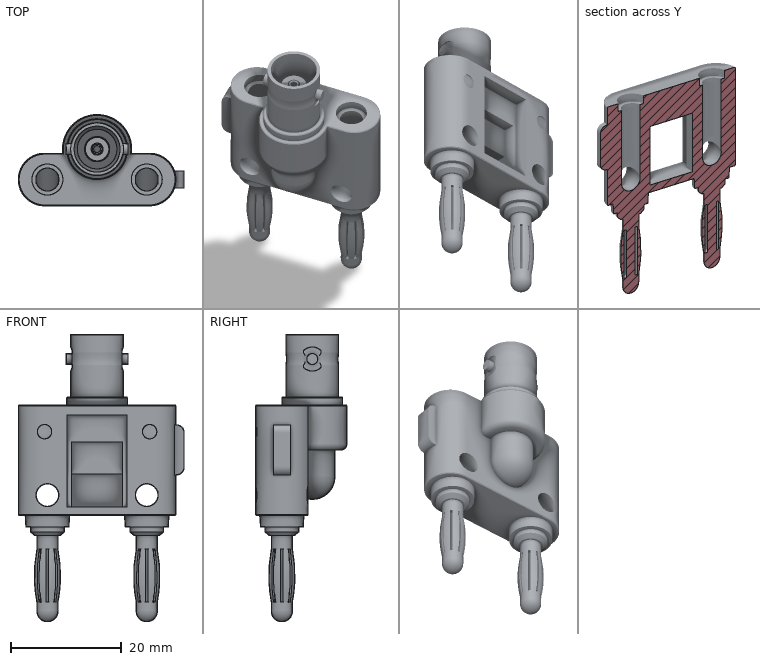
import cadquery as cq
import math


OVERALL_HEIGHT = 51.95

BODY_LENGTH = 28.55
BODY_DEPTH = 9.5
BODY_HEIGHT = 20.0
EDGE_CHAMFER = 0.15
END_RADIUS = BODY_DEPTH / 2
END_CENTRE_X = BODY_LENGTH / 2 - END_RADIUS
FRONT_Y = -BODY_DEPTH / 2

TAB_REACH = 1.5
TAB_WIDTH = 3.1
TAB_BOTTOM = 7.35
TAB_TOP = 16.4
TAB_CORNER_RADIUS = 1.45

COAX_Y = 5.5
BOSS_RADIUS = 12.5 / 2
BOSS_BOTTOM = 11.85
BOSS_FILLET = 1.1
ELBOW_RADIUS = 4.1
ELBOW_CENTRE_Z = 7.0
COLLAR_RADIUS = 5.5
COLLAR_HEIGHT = 1.45
COLLAR_TOP = BODY_HEIGHT + COLLAR_HEIGHT
BARREL_RADIUS = 4.8
BARREL_TOP = 32.75
BORE_RADIUS = 4.15
BORE_FLOOR_RADIUS = 3.6
BORE_FLOOR_Z = COLLAR_TOP
BORE_TAPER_HEIGHT = 0.55
INSULATOR_RADIUS = 2.3
INSULATOR_TOP = 29.15
SOCKET_RADIUS = 1.1
CONTACT_RADIUS = 0.9
CONTACT_BORE_RADIUS = 0.6
SOCKET_DEPTH = 2.1

STUD_Z = 28.3
STUD_RADIUS = 1.0
STUD_SPAN = 11.2
STUD_FLAT_RADIUS = 2.2
STUD_FLAT_X = 4.5
GROOVE_WIDTH = 2.2
GROOVE_DEPTH = 0.1

BANANA_X = 9.0
SOCKET_HOLE_DIAMETER = 4.15
COUNTERBORE_DIAMETER = 5.6
COUNTERBORE_DEPTH = 1.55
CROSS_HOLE_DIAMETER = 4.05
CROSS_HOLE_Z = 3.7
SPOTFACE_DIAMETER = 2.6
SPOTFACE_Z = 15.15
SPOTFACE_DEPTH = 0.2

POCKET_BOTTOM = 1.55
POCKET_WIDTH = 10.85
POCKET_TOP = 18.2
POCKET_DEPTH = 2.5
INNER_WIDTH = 9.25
UPPER_STEP_TOP = 13.3
UPPER_STEP_DEPTH = 4.6
LOWER_STEP_TOP = 7.55
LOWER_STEP_DEPTH = 6.9

SHOULDER_TOP_RADIUS = 8.05 / 2
SHOULDER_BOTTOM_RADIUS = 7.8 / 2
SHOULDER_Z = -2.1
NECK_RADIUS = 3.05
NECK_Z = -2.95
CONE_RADIUS = 2.3
CONE_Z = -3.65
ROD_RADIUS = 1.9
PLUG_TIP_Z = BARREL_TOP - OVERALL_HEIGHT
SPRING_TOP_Z = -6.1
SPRING_BOTTOM_Z = -15.7
SPRING_MIDDLE_RADIUS = 2.4
SPRING_BORE_RADIUS = 1.55
CORE_RADIUS = 1.2
SPRING_SLOT_WIDTH = 0.45
SPRING_SLOT_COUNT = 8


def cylinder(radius, bottom, top, x=0.0, y=0.0):
    """Vertical cylinder between two heights."""
    return cq.Workplane("XY").workplane(offset=bottom).center(x, y).circle(radius).extrude(top - bottom)


def cylinder_along_y(diameter, x, z, y_start, y_end):
    """Horizontal cylinder running front to back."""
    start = cq.Workplane("XZ", origin=(x, y_start, z)).circle(diameter / 2)
    return start.extrude(y_start - y_end)


def make_housing():
    slab = cq.Workplane("XY").slot2D(BODY_LENGTH, BODY_DEPTH).extrude(BODY_HEIGHT)
    slab = slab.faces("<Z").edges().chamfer(EDGE_CHAMFER)
    boss = cylinder(BOSS_RADIUS, BOSS_BOTTOM, BODY_HEIGHT, y=COAX_Y)
    boss = boss.faces("<Z").edges().fillet(BOSS_FILLET)
    housing = slab.union(boss).faces(">Z").edges().chamfer(EDGE_CHAMFER)

    elbow = cylinder(ELBOW_RADIUS, ELBOW_CENTRE_Z, BOSS_BOTTOM + BOSS_FILLET, y=COAX_Y)
    elbow_end = cq.Workplane("XY", origin=(0, COAX_Y, ELBOW_CENTRE_Z)).sphere(ELBOW_RADIUS)
    return housing.union(elbow).union(elbow_end)


def make_tab():
    tab_length = END_RADIUS + TAB_REACH
    tab = (
        cq.Workplane("XY", origin=(END_CENTRE_X, 0, TAB_BOTTOM))
        .box(tab_length, TAB_WIDTH, TAB_TOP - TAB_BOTTOM, centered=(False, True, False))
    )
    return tab.faces(">X").edges("|Y").fillet(TAB_CORNER_RADIUS)


def cut_spotface(body, side):
    """Shallow round recess on the line where the flat front meets a rounded end."""
    x = side * END_CENTRE_X
    floor_y = FRONT_Y + SPOTFACE_DEPTH
    return body.cut(cylinder_along_y(SPOTFACE_DIAMETER, x, SPOTFACE_Z, FRONT_Y, floor_y))


def cut_pocket(body):
    steps = [
        (POCKET_WIDTH, POCKET_TOP, POCKET_DEPTH),
        (INNER_WIDTH, UPPER_STEP_TOP, UPPER_STEP_DEPTH),
        (INNER_WIDTH, LOWER_STEP_TOP, LOWER_STEP_DEPTH),
    ]
    for width, top, depth in steps:
        step = (
            cq.Workplane("XY", origin=(0, FRONT_Y, POCKET_BOTTOM))
            .box(width, depth, top - POCKET_BOTTOM, centered=(True, False, False))
        )
        body = body.cut(step)
    return body


def cut_banana_holes(body, side):
    x = side * BANANA_X
    counterbore_z = BODY_HEIGHT - COUNTERBORE_DEPTH
    body = body.cut(cylinder(COUNTERBORE_DIAMETER / 2, counterbore_z, BODY_HEIGHT, x))
    body = body.cut(cylinder(SOCKET_HOLE_DIAMETER / 2, CROSS_HOLE_Z, BODY_HEIGHT, x))
    return body.cut(cylinder_along_y(CROSS_HOLE_DIAMETER, x, CROSS_HOLE_Z, FRONT_Y, -FRONT_Y))


def make_coax():
    """Bayonet connector, built around the Z axis and then moved into place."""
    groove_half = GROOVE_WIDTH / 2
    shell = (
        cq.Workplane("XZ")
        .moveTo(0, BODY_HEIGHT - EDGE_CHAMFER)
        .lineTo(COLLAR_RADIUS, BODY_HEIGHT - EDGE_CHAMFER)
        .lineTo(COLLAR_RADIUS, COLLAR_TOP - EDGE_CHAMFER)
        .lineTo(COLLAR_RADIUS - EDGE_CHAMFER, COLLAR_TOP)
        .lineTo(BARREL_RADIUS, COLLAR_TOP)
        .lineTo(BARREL_RADIUS, STUD_Z - groove_half)
        .threePointArc((BARREL_RADIUS - GROOVE_DEPTH, STUD_Z), (BARREL_RADIUS, STUD_Z + groove_half))
        .lineTo(BARREL_RADIUS, BARREL_TOP)
        .lineTo(BORE_RADIUS, BARREL_TOP)
        .lineTo(BORE_RADIUS, BORE_FLOOR_Z + BORE_TAPER_HEIGHT)
        .lineTo(BORE_FLOOR_RADIUS, BORE_FLOOR_Z)
        .lineTo(0, BORE_FLOOR_Z)
        .close()
        .revolve(360, (0, 0, 0), (0, 1, 0))
    )
    insulator = cylinder(INSULATOR_RADIUS, BORE_FLOOR_Z, INSULATOR_TOP)
    insulator = insulator.faces(">Z").edges().chamfer(EDGE_CHAMFER)
    socket = cylinder(SOCKET_RADIUS, INSULATOR_TOP - SOCKET_DEPTH, INSULATOR_TOP)
    contact = cylinder(CONTACT_RADIUS, BORE_FLOOR_Z, INSULATOR_TOP)
    contact_bore = cylinder(CONTACT_BORE_RADIUS, INSULATOR_TOP - SOCKET_DEPTH, INSULATOR_TOP)
    coax = shell.union(insulator.cut(socket)).union(contact).cut(contact_bore)

    for side in (-1, 1):
        flat = cq.Workplane("YZ", origin=(side * STUD_FLAT_X, 0, STUD_Z)).circle(STUD_FLAT_RADIUS)
        coax = coax.cut(flat.extrude(side * BARREL_RADIUS))
        stud_start = (BORE_RADIUS + STUD_FLAT_X) / 2
        stud = cq.Workplane("YZ", origin=(side * stud_start, 0, STUD_Z)).circle(STUD_RADIUS)
        coax = coax.union(stud.extrude(side * (STUD_SPAN / 2 - stud_start)))
    return coax.translate((0, COAX_Y, 0))


def make_plug():
    """Banana plug on the Z axis, with a slotted spring cage around a thin core."""
    tip_centre_z = PLUG_TIP_Z + ROD_RADIUS
    spring_middle_z = (SPRING_TOP_Z + SPRING_BOTTOM_Z) / 2
    tip_arc = ROD_RADIUS * math.sqrt(0.5)
    plug = (
        cq.Workplane("XZ")
        .moveTo(0, EDGE_CHAMFER)
        .lineTo(SHOULDER_TOP_RADIUS, EDGE_CHAMFER)
        .lineTo(SHOULDER_TOP_RADIUS, 0)
        .lineTo(SHOULDER_BOTTOM_RADIUS, SHOULDER_Z)
        .lineTo(NECK_RADIUS, SHOULDER_Z)
        .lineTo(NECK_RADIUS, NECK_Z)
        .lineTo(CONE_RADIUS, CONE_Z)
        .lineTo(ROD_RADIUS, CONE_Z)
        .lineTo(ROD_RADIUS, SPRING_TOP_Z)
        .threePointArc((SPRING_MIDDLE_RADIUS, spring_middle_z), (ROD_RADIUS, SPRING_BOTTOM_Z))
        .lineTo(ROD_RADIUS, tip_centre_z)
        .threePointArc((tip_arc, tip_centre_z - tip_arc), (0, PLUG_TIP_Z))
        .close()
        .revolve(360, (0, 0, 0), (0, 1, 0))
    )
    gap = cylinder(SPRING_BORE_RADIUS, SPRING_BOTTOM_Z, SPRING_TOP_Z)
    gap = gap.cut(cylinder(CORE_RADIUS, SPRING_BOTTOM_Z, SPRING_TOP_Z))
    plug = plug.cut(gap)

    slot_length = SPRING_TOP_Z - SPRING_BOTTOM_Z
    slot_start = (CORE_RADIUS + SPRING_BORE_RADIUS) / 2
    slot = (
        cq.Workplane("XY", origin=(slot_start, 0, SPRING_BOTTOM_Z))
        .box(SPRING_MIDDLE_RADIUS, SPRING_SLOT_WIDTH, slot_length, centered=(False, True, False))
    )
    for index in range(SPRING_SLOT_COUNT):
        angle = index * 360 / SPRING_SLOT_COUNT
        plug = plug.cut(slot.rotate((0, 0, 0), (0, 0, 1), angle))
    return plug


result = make_housing().union(make_tab())
for side in (-1, 1):
    result = cut_spotface(result, side)
    result = cut_banana_holes(result, side)
result = cut_pocket(result)
result = result.union(make_coax())
plug = make_plug()
for side in (-1, 1):
    result = result.union(plug.translate((side * BANANA_X, 0, 0)))